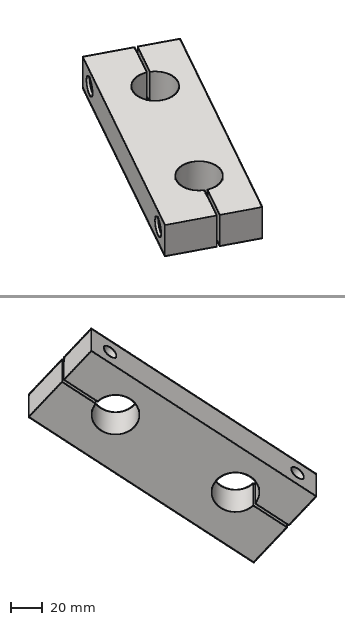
import cadquery as cq

length = 180.0
depth = 64.0
height = 25.0

bore_diameter = 30.0
bore_spacing = 96.0
bore_y = 3.0
slit_width = 2.0

bolt_spacing = 150.0
bolt_diameter = 10.0
mouth_diameter = 13.5
mouth_depth = (mouth_diameter - bolt_diameter) / 2


def make_block():
    return cq.Workplane("XY").box(length, depth, height)


def make_bore(x):
    return cq.Workplane("XY").center(x, bore_y).circle(bore_diameter / 2).extrude(height, both=True)


def make_slit(side):
    """Slit from a bore centre out through the nearest end face."""
    bore_x = bore_spacing / 2
    slit_length = length / 2 - bore_x
    slit_x = side * (bore_x + slit_length / 2)
    return cq.Workplane("XY").box(slit_length, slit_width, height).translate((slit_x, bore_y, 0))


def make_bolt_hole(x):
    """Through hole with a countersunk mouth on the front face."""
    front = cq.Workplane("XZ", origin=(x, -depth / 2, 0))
    hole = front.circle(bolt_diameter / 2).extrude(-depth)
    mouth = front.circle(mouth_diameter / 2).workplane(offset=-mouth_depth)
    mouth = mouth.circle(bolt_diameter / 2).loft()
    return hole.union(mouth)


result = make_block()
for side in (-1, 1):
    result = result.cut(make_bore(side * bore_spacing / 2))
    result = result.cut(make_slit(side))
    result = result.cut(make_bolt_hole(side * bolt_spacing / 2))